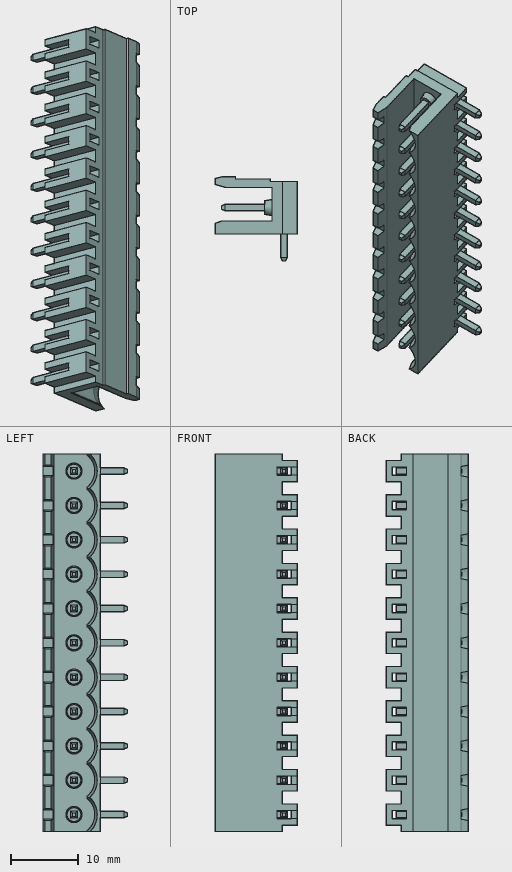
import cadquery as cq


PIN_COUNT = 11
PITCH = 5.08
LENGTH = PIN_COUNT * PITCH
PIN_HEIGHTS = [(i + 0.5) * PITCH for i in range(PIN_COUNT)]

DEPTH = 12.2
BODY_DEPTH = 9.95
BACK_WIDTH = 7.8
LATCH_WALL_Y = 8.17
LIP_Y = 8.5
LIP_END_X = 3.05
LATCH_WALL_END_X = 8.2
LIP_CHAMFER_X = 1.1
LIP_CHAMFER_Y = 0.27
LEAD_IN_X = 1.6
LEAD_IN_Y = 0.45
CAVITY_DEPTH = 8.4
CAVITY_LOW_Y = 1.96
CAVITY_HIGH_Y = 6.87

SCALLOP_RADIUS = 3.07
SCALLOP_MOUTH_RADIUS = 3.45

NOTCH_DEPTH = 1.1
NOTCH_MOUTH_WIDTH = 1.8
NOTCH_FLOOR_WIDTH = 1.35

RIB_HEIGHT = 3.2
SLOT_HEIGHT = 1.2
SLOT_START_X = 9.2
SLOT_END_X = 11.25
GROOVE_TOP_Y = 4.5

PIN_SIZE = 1.0
PIN_TIP_SIZE = 0.5
PIN_TIP_LENGTH = 0.55
PIN_Y = 3.92
PIN_START_X = 0.95
TAIL_X = 10.2
TAIL_LENGTH = 4.0
COLLAR_START_X = 7.35
COLLAR_RADIUS = 1.2
COLLAR_TIP_RADIUS = 1.02


def box(x0, x1, y0, y1, z0, z1):
    return cq.Workplane("XY").box(x1 - x0, y1 - y0, z1 - z0, centered=False).translate((x0, y0, z0))


def slab(x0, x1, y0, y1, height, z_mid):
    """Box of the given Z height, centred on z_mid."""
    return box(x0, x1, y0, y1, z_mid - height / 2, z_mid + height / 2)


def cone(x0, x1, start_radius, end_radius, z):
    """Cone (or cylinder) along X on a pin axis."""
    outline = [
        (x0, PIN_Y),
        (x0, PIN_Y + start_radius),
        (x1, PIN_Y + end_radius),
        (x1, PIN_Y),
    ]
    profile = cq.Workplane("XY").polyline(outline).close()
    return profile.revolve(360, (x0, PIN_Y, 0), (x1, PIN_Y, 0)).translate((0, 0, z))


def make_body():
    """U-shaped housing with the latch lip, extruded along the row."""
    outline = [
        (0, 0),
        (BODY_DEPTH, 0),
        (BODY_DEPTH, BACK_WIDTH),
        (LATCH_WALL_END_X, BACK_WIDTH),
        (LATCH_WALL_END_X, LATCH_WALL_Y),
        (LIP_END_X, LATCH_WALL_Y),
        (LIP_END_X, LIP_Y),
        (LIP_CHAMFER_X, LIP_Y),
        (0, LIP_Y - LIP_CHAMFER_Y),
        (0, CAVITY_HIGH_Y + LEAD_IN_Y),
        (LEAD_IN_X, CAVITY_HIGH_Y),
        (CAVITY_DEPTH, CAVITY_HIGH_Y),
        (CAVITY_DEPTH, CAVITY_LOW_Y),
        (0, CAVITY_LOW_Y),
    ]
    return cq.Workplane("XY").polyline(outline).close().extrude(LENGTH)


def make_scallop(z):
    """Round relief about a pin, flared at the mouth, in the board-side wall only."""
    bore = cone(0, CAVITY_DEPTH, SCALLOP_RADIUS, SCALLOP_RADIUS, z)
    flare = cone(0, LEAD_IN_X, SCALLOP_MOUTH_RADIUS, SCALLOP_RADIUS, z)
    board_side = box(0, CAVITY_DEPTH, 0, CAVITY_LOW_Y, 0, LENGTH)
    return bore.union(flare).intersect(board_side)


def make_notch(z):
    """Flared notch across the latch lip."""
    outline = [
        (0, z - NOTCH_MOUTH_WIDTH / 2),
        (NOTCH_DEPTH, z - NOTCH_FLOOR_WIDTH / 2),
        (NOTCH_DEPTH, z + NOTCH_FLOOR_WIDTH / 2),
        (0, z + NOTCH_MOUTH_WIDTH / 2),
    ]
    plane = cq.Workplane("XZ", origin=(0, LIP_Y, 0))
    return plane.polyline(outline).close().extrude(LIP_Y - CAVITY_HIGH_Y)


def make_rib(z):
    return slab(BODY_DEPTH, DEPTH, 0, BACK_WIDTH, RIB_HEIGHT, z)


def make_slot(z):
    """Through slot for the pin tail, opened to the back near the board face."""
    slot = slab(SLOT_START_X, SLOT_END_X, 0, BACK_WIDTH, SLOT_HEIGHT, z)
    groove = slab(SLOT_START_X, DEPTH, 0, GROOVE_TOP_Y, SLOT_HEIGHT, z)
    return slot.union(groove)


def make_tip(plane):
    """Tapered square pin end, starting full size on the given plane."""
    base = cq.Workplane(plane).rect(PIN_SIZE, PIN_SIZE)
    return base.workplane(offset=PIN_TIP_LENGTH).rect(PIN_TIP_SIZE, PIN_TIP_SIZE).loft(ruled=True)


def make_pin(z):
    """Right-angle square pin with tapered ends and a collar at the cavity floor."""
    half = PIN_SIZE / 2
    shoulder_x = PIN_START_X + PIN_TIP_LENGTH
    shoulder_y = PIN_TIP_LENGTH - TAIL_LENGTH
    contact = slab(shoulder_x, TAIL_X + half, PIN_Y - half, PIN_Y + half, PIN_SIZE, z)
    tail = slab(TAIL_X - half, TAIL_X + half, shoulder_y, PIN_Y + half, PIN_SIZE, z)
    contact_tip = make_tip(cq.Plane((shoulder_x, PIN_Y, z), xDir=(0, 1, 0), normal=(-1, 0, 0)))
    tail_tip = make_tip(cq.Plane((TAIL_X, shoulder_y, z), xDir=(1, 0, 0), normal=(0, -1, 0)))
    collar = cone(COLLAR_START_X, CAVITY_DEPTH, COLLAR_TIP_RADIUS, COLLAR_RADIUS, z)
    return contact.union(tail).union(contact_tip).union(tail_tip).union(collar)


result = make_body()
for pin_z in PIN_HEIGHTS:
    result = result.union(make_rib(pin_z))
    result = result.cut(make_slot(pin_z))
    result = result.cut(make_notch(pin_z))
    result = result.cut(make_scallop(pin_z))
    result = result.union(make_pin(pin_z))